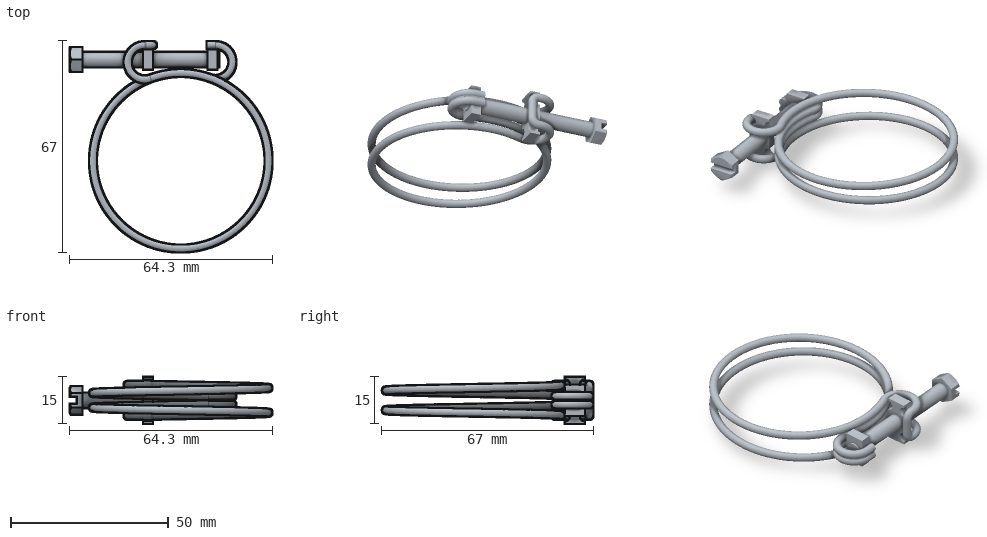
import cadquery as cq
import math


wire_d = 2.6
wire_r = wire_d / 2
ring_outer_r = 29.1
ring_r = ring_outer_r - wire_r
outer_hook_z = 4.9
inner_hook_z = 1.35
ring_points = 32

clamp_back_y = 37.95
hook_top_y = clamp_back_y - wire_r
sliding_hook_r = 5.4
nut_hook_r = 5.35
nut_wire_end_x = 8.1
crossbar_x = -8.8
elbow_r = 2.2

weld_width = 1.35

screw_y = 32.05
screw_d = 5.0
screw_tip_x = 12.2
head_x = -35.2
head_thickness = 4.15
head_flats = 8.0
head_points = head_flats / math.cos(math.radians(30))
head_face_d = 7.7
chamfer_angle = 30
slot_width = 2.15
slot_depth = 2.2

block_depth = 6.45
block_thickness = 3.3
sliding_block_x = -10.4
sliding_block_height = 15.0
groove_r = 1.7
nut_block_x = 10.05
nut_block_height = 10.0


def hook_centre_x(hook_r):
    """Distance of a hook's centre from the YZ plane that makes the hook touch the ring circle."""
    return math.sqrt((ring_r + hook_r) ** 2 - (hook_top_y - hook_r) ** 2)


def polar(centre, radius, angle, z):
    """Point at an angle in degrees on a level circle."""
    a = math.radians(angle)
    return cq.Vector(centre[0] + radius * math.cos(a), centre[1] + radius * math.sin(a), z)


def level_arc(centre, radius, start, end, z):
    """Level arc that runs between two angles in degrees."""
    points = [polar(centre, radius, a, z) for a in (start, (start + end) / 2, end)]
    return cq.Edge.makeThreePointArc(*points)


sliding_hook = (-hook_centre_x(sliding_hook_r), hook_top_y - sliding_hook_r)
nut_hook = (hook_centre_x(nut_hook_r), hook_top_y - nut_hook_r)
ring_start = math.degrees(math.atan2(sliding_hook[1], sliding_hook[0]))
ring_end = math.degrees(math.atan2(nut_hook[1], nut_hook[0])) - 360


def make_crossbar_path():
    """Half of the crossbar, its elbow and the straight that leads to the sliding block's hook."""
    elbow_start = cq.Vector(crossbar_x, hook_top_y, outer_hook_z - elbow_r)
    elbow_end = cq.Vector(crossbar_x - elbow_r, hook_top_y, outer_hook_z)
    elbow_offset = elbow_r * (1 - math.sqrt(0.5))
    elbow_middle = cq.Vector(crossbar_x - elbow_offset, hook_top_y, outer_hook_z - elbow_offset)
    return [
        cq.Edge.makeLine(cq.Vector(crossbar_x, hook_top_y, 0), elbow_start),
        cq.Edge.makeThreePointArc(elbow_start, elbow_middle, elbow_end),
        cq.Edge.makeLine(elbow_end, cq.Vector(sliding_hook[0], hook_top_y, outer_hook_z)),
    ]


def make_ring_path():
    """Clockwise helical run of a little over one turn, level at both ends."""
    turn = ring_end - ring_start
    fractions = [i / ring_points for i in range(ring_points + 1)]
    points = []
    for fraction in fractions:
        z = outer_hook_z + fraction * (inner_hook_z - outer_hook_z)
        points.append(polar((0, 0), ring_r, ring_start + fraction * turn, z))
    run_length = ring_r * math.radians(abs(turn))
    tangents = [polar((0, 0), run_length, angle - 90, 0) for angle in (ring_start, ring_end)]
    return cq.Edge.makeSpline(points, tangents=tangents, parameters=fractions, scale=False)


def make_nut_hook_path(z):
    """Hook at the nut block, from the ring to the end of the wire."""
    arc = level_arc(nut_hook, nut_hook_r, ring_end + 180, 90, z)
    straight = cq.Edge.makeLine(
        cq.Vector(nut_hook[0], hook_top_y, z), cq.Vector(nut_wire_end_x, hook_top_y, z)
    )
    return [arc, straight]


def make_upper_wire():
    """Upper wire, from the middle of the crossbar round the ring to the nut block."""
    sliding_arc = level_arc(sliding_hook, sliding_hook_r, 90, ring_start + 180, outer_hook_z)
    edges = [*make_crossbar_path(), sliding_arc, make_ring_path(), *make_nut_hook_path(inner_hook_z)]
    path = cq.Wire.assembleEdges(edges)
    return cq.Workplane("XY", origin=(crossbar_x, hook_top_y, 0)).circle(wire_r).sweep(path)


def make_weld():
    """Strip that fills the gap between the two hooks, hollowed above and below by the wires."""
    half_width = weld_width / 2
    edge_z = inner_hook_z - math.sqrt(wire_r**2 - half_width**2)
    neck_z = inner_hook_z - wire_r
    start = polar((0, 0), ring_r, ring_end, 0)
    along = polar((0, 0), 1, ring_end - 90, 0)
    across = polar((0, 0), 1, ring_end, 0)
    return (
        cq.Workplane(cq.Plane(origin=start, xDir=across, normal=along))
        .moveTo(-half_width, -edge_z)
        .threePointArc((0, -neck_z), (half_width, -edge_z))
        .lineTo(half_width, edge_z)
        .threePointArc((0, neck_z), (-half_width, edge_z))
        .close()
        .sweep(cq.Wire.assembleEdges(make_nut_hook_path(0)))
    )


def make_screw():
    """Slotted hexagon screw whose head is chamfered round its outer face."""
    head_plane = cq.Workplane("YZ", origin=(head_x, screw_y, 0))
    head = head_plane.transformed(rotate=(0, 0, 90)).polygon(6, head_points).extrude(head_thickness)
    cone_growth = head_thickness / math.tan(math.radians(chamfer_angle))
    chamfer_cone = cq.Workplane(
        cq.Solid.makeCone(
            head_face_d / 2,
            head_face_d / 2 + cone_growth,
            head_thickness,
            pnt=cq.Vector(head_x, screw_y, 0),
            dir=cq.Vector(1, 0, 0),
        )
    )
    slot = head_plane.rect(head_points, slot_width).extrude(slot_depth)
    shank = (
        cq.Workplane("YZ", origin=(head_x + head_thickness, screw_y, 0))
        .circle(screw_d / 2)
        .extrude(screw_tip_x - head_x - head_thickness)
    )
    return head.intersect(chamfer_cone).cut(slot).union(shank)


def make_block(x, height):
    """Plain block centred on the screw, with a hole that the screw fills."""
    return (
        cq.Workplane("YZ", origin=(x - block_thickness / 2, screw_y, 0))
        .rect(block_depth, height)
        .circle(screw_d / 2)
        .extrude(block_thickness)
    )


def make_sliding_block():
    """Tall block with half-round grooves on both sides, level with the outer hooks."""
    grooves = (
        cq.Workplane("YZ", origin=(sliding_block_x - block_thickness / 2, screw_y, 0))
        .rect(block_depth, 2 * outer_hook_z, forConstruction=True)
        .vertices()
        .circle(groove_r)
        .extrude(block_thickness)
    )
    return make_block(sliding_block_x, sliding_block_height).cut(grooves)


screw = make_screw()
sliding_block = make_sliding_block()
nut_block = make_block(nut_block_x, nut_block_height)
weld = make_weld()
upper_wire = make_upper_wire()
wires = [upper_wire, upper_wire.mirror("XY")]

result = cq.Compound.makeCompound(
    [screw.val(), sliding_block.val(), nut_block.val(), weld.val(), *[wire.val() for wire in wires]]
)